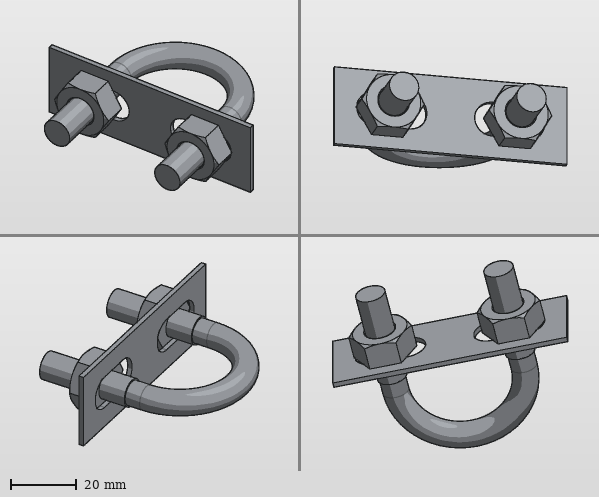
import cadquery as cq
import math


plate_length = 73.0
plate_height = 25.0
plate_thickness = 1.6
slot_length = 22.0
slot_width = 11.0
slot_spacing = 37.0

leg_spacing = 40.0
rod_diameter = 8.2
thread_diameter = 9.2
thread_length = 30.0
bolt_length = 59.2
bend_radius = leg_spacing / 2
straight_length = bolt_length - thread_length - bend_radius - rod_diameter / 2

nut_flats = 17.0
nut_height = 8.0
nut_bore = thread_diameter
nut_countersink_diameter = 10.0
nut_chamfer_angle = 30.0
nut_corners = nut_flats / math.cos(math.radians(30))
thread_protrusion = 13.0

thread_tip_y = -nut_height - thread_protrusion
thread_end_y = thread_tip_y + thread_length
bend_start_y = thread_end_y + straight_length


def make_plate():
    """Thin rectangular plate with two horizontal slots for the legs."""
    plate = cq.Workplane("XZ").rect(plate_length, plate_height).extrude(-plate_thickness)
    slots = (
        cq.Workplane("XZ")
        .pushPoints([(-slot_spacing / 2, 0), (slot_spacing / 2, 0)])
        .slot2D(slot_length, slot_width)
        .extrude(-plate_thickness)
    )
    return plate.cut(slots)


def make_thread(x):
    """Thick threaded end of one leg, modelled as a plain cylinder."""
    return (
        cq.Workplane("XZ", origin=(x, thread_tip_y, 0))
        .circle(thread_diameter / 2)
        .extrude(-thread_length)
    )


def make_u_bolt():
    """Round rod bent into a U, with a thicker threaded end on each leg."""
    path = (
        cq.Workplane("XY")
        .moveTo(-bend_radius, thread_end_y)
        .lineTo(-bend_radius, bend_start_y)
        .threePointArc((0, bend_start_y + bend_radius), (bend_radius, bend_start_y))
        .lineTo(bend_radius, thread_end_y)
    )
    rod = (
        cq.Workplane("XZ", origin=(-bend_radius, thread_end_y, 0))
        .circle(rod_diameter / 2)
        .sweep(path)
    )
    return rod.union(make_thread(-bend_radius)).union(make_thread(bend_radius))


def make_nut(x):
    """Hexagon nut against the plate, its corners chamfered on the outer face."""
    seat = cq.Workplane("XZ", origin=(x, 0, 0))
    hexagon = seat.polygon(6, nut_corners).extrude(nut_height)

    corner_depth = (nut_corners - nut_flats) / 2 * math.tan(math.radians(nut_chamfer_angle))
    envelope = (
        seat.circle(nut_corners / 2)
        .extrude(nut_height)
        .faces("<Y")
        .chamfer(corner_depth, (nut_corners - nut_flats) / 2)
    )
    blank = hexagon.intersect(envelope)

    bore = seat.circle(nut_bore / 2).extrude(nut_height)
    countersink_depth = (nut_countersink_diameter - nut_bore) / 2
    countersink = (
        cq.Workplane("XZ", origin=(x, -nut_height, 0))
        .circle(nut_countersink_diameter / 2)
        .workplane(offset=-countersink_depth)
        .circle(nut_bore / 2)
        .loft()
    )
    return blank.cut(bore).cut(countersink)


plate = make_plate()
u_bolt = make_u_bolt()
nuts = [make_nut(x) for x in (-leg_spacing / 2, leg_spacing / 2)]

result = cq.Compound.makeCompound([plate.val(), u_bolt.val(), *[nut.val() for nut in nuts]])